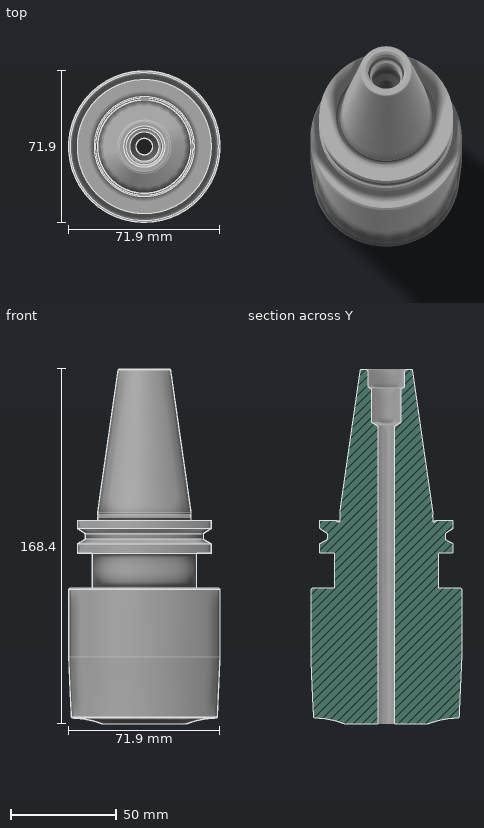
import cadquery as cq
import math

total_height = 168.4
flange_top = 96.7
flange_bottom = 81.0
body_top = 64.7
nut_top = 31.8
nut_bottom = 3.4

body_radius = 71.9 / 2
nut_bottom_radius = 34.7
nose_flat_radius = 19.7
nose_arc_radius = 26.5
nose_arc_height = 2.0
neck_radius = 24.8
flange_radius = 31.8
taper_large_radius = 22.2
taper_small_radius = 12.5

body_chamfer = 0.8
nut_chamfer = 0.5
shank_fillet = 0.8

groove_root_radius = 28.1
groove_upper_edge = 92.8
groove_root_top = 90.5
groove_root_bottom = 87.5
groove_lower_edge = 85.5
groove_root_fillet = 0.5

taper_base = 100.4
land_groove_bottom = 98.3
land_groove_top = 99.2
land_groove_depth = 0.2

relief_radius = 23.7
relief_floor_radius = 23.0
relief_depth = 0.7

bore_mouth_radius = 9.8
bore_radius = 8.6
bore_depth = 8.5
pilot_radius = 6.9
pilot_depth = 25.3
through_radius = 3.9
cone_half_angle = 60


def revolve_profile(points):
    """Revolve (radius, height) points about the Z axis."""
    return cq.Workplane("XZ").polyline(points).close().revolve(360, (0, 0, 0), (0, 1, 0))


def make_nut_and_body():
    """Body and tapered nut, closed by a shallow bulging nose."""
    nose_outer_radius = nut_bottom_radius - nut_chamfer
    return (
        cq.Workplane("XZ")
        .lineTo(nose_flat_radius, 0)
        .threePointArc((nose_arc_radius, nose_arc_height), (nose_outer_radius, nut_bottom - nut_chamfer))
        .lineTo(nut_bottom_radius, nut_bottom)
        .lineTo(body_radius, nut_top)
        .lineTo(body_radius, body_top - body_chamfer)
        .lineTo(body_radius - body_chamfer, body_top)
        .lineTo(0, body_top)
        .close()
        .revolve(360, (0, 0, 0), (0, 1, 0))
    )


def make_neck_and_flange():
    relief_floor = flange_top - relief_depth
    neck_and_flange = revolve_profile([
        (0, body_top),
        (neck_radius, body_top),
        (neck_radius, flange_bottom),
        (flange_radius, flange_bottom),
        (flange_radius, groove_lower_edge),
        (groove_root_radius, groove_root_bottom),
        (groove_root_radius, groove_root_top),
        (flange_radius, groove_upper_edge),
        (flange_radius, flange_top),
        (relief_radius, flange_top),
        (relief_floor_radius, relief_floor),
        (0, relief_floor),
    ])
    groove_root_edges = cq.selectors.RadiusNthSelector(-2)
    return neck_and_flange.edges(groove_root_edges).fillet(groove_root_fillet)


def make_shank():
    land_groove_radius = taper_large_radius - land_groove_depth
    shank = revolve_profile([
        (0, flange_top - relief_depth),
        (taper_large_radius, flange_top - relief_depth),
        (taper_large_radius, land_groove_bottom),
        (land_groove_radius, land_groove_bottom),
        (land_groove_radius, land_groove_top),
        (taper_large_radius, land_groove_top),
        (taper_large_radius, taper_base),
        (taper_small_radius, total_height),
        (0, total_height),
    ])
    return shank.faces(">Z").edges().fillet(shank_fillet)


def cone_height(large_radius, small_radius):
    return (large_radius - small_radius) / math.tan(math.radians(cone_half_angle))


def make_bore():
    mouth_bottom = total_height - cone_height(bore_mouth_radius, bore_radius)
    shoulder_top = total_height - bore_depth
    shoulder_bottom = shoulder_top - cone_height(bore_radius, pilot_radius)
    pilot_floor = total_height - pilot_depth
    return revolve_profile([
        (0, 0),
        (through_radius, 0),
        (through_radius, pilot_floor - cone_height(pilot_radius, through_radius)),
        (pilot_radius, pilot_floor),
        (pilot_radius, shoulder_bottom),
        (bore_radius, shoulder_top),
        (bore_radius, mouth_bottom),
        (bore_mouth_radius, total_height),
        (0, total_height),
    ])


holder = make_nut_and_body().union(make_neck_and_flange()).union(make_shank())
result = holder.cut(make_bore())